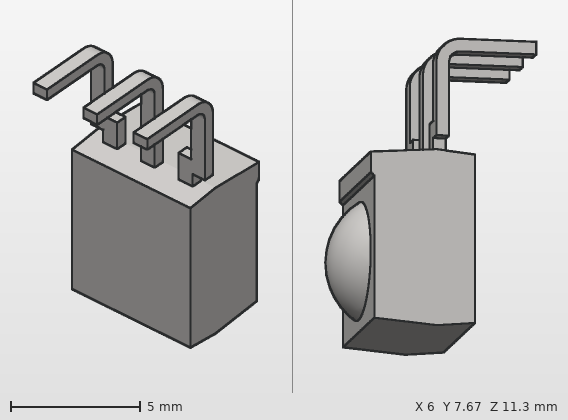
import cadquery as cq

housing_width = 6.0
ridge_height = 6.93
front_y = -1.5
back_y = 2.47
front_edge_drop = 0.15
back_edge_drop = 0.19

lip_depth = 0.14
lip_bottom_z = 5.79
lip_y = back_y + lip_depth

lens_radius = 2.75
lens_apex_y = 3.73
lens_z = 3.0
lens_center_y = lens_apex_y - lens_radius

lead_pitch = 2.54
lead_width = 0.69
lead_thickness = 0.5
lead_top_z = 11.35
lead_tip_y = -3.94
bend_inner_radius = 0.45
bend_outer_radius = bend_inner_radius + lead_thickness

jog_bottom_z = 7.51
jog_top_z = 8.2
foot_width = 0.72
foot_inner_x = 1.55
lead_outer_x = lead_pitch + lead_width / 2


def make_housing():
    """Ridged block with the back lip and the lens as one molded body."""
    profile = [
        (front_y, front_edge_drop),
        (0, 0),
        (back_y, back_edge_drop),
        (back_y, lip_bottom_z),
        (lip_y, lip_bottom_z + lip_depth),
        (lip_y, ridge_height - back_edge_drop),
        (0, ridge_height),
        (front_y, ridge_height - front_edge_drop),
    ]
    block = cq.Workplane("YZ").polyline(profile).close().extrude(housing_width / 2, both=True)
    lens = cq.Workplane("XY").sphere(lens_radius).translate((0, lens_center_y, lens_z))
    lens_diameter = 2 * lens_radius
    behind_face = (
        cq.Workplane("XY")
        .box(lens_diameter, lens_diameter, lens_diameter)
        .translate((0, back_y + lens_radius, lens_z))
    )
    return block.union(lens.intersect(behind_face))


def make_bent_strip(center_x, bottom_z):
    """Upright strip that bends forward at its top, starting at bottom_z."""
    strip = (
        cq.Workplane("YZ")
        .moveTo(0, bottom_z)
        .lineTo(0, lead_top_z - bend_outer_radius)
        .radiusArc((-bend_outer_radius, lead_top_z), -bend_outer_radius)
        .lineTo(lead_tip_y, lead_top_z)
        .lineTo(lead_tip_y, lead_top_z - lead_thickness)
        .lineTo(-bend_outer_radius, lead_top_z - lead_thickness)
        .radiusArc((-lead_thickness, lead_top_z - bend_outer_radius), bend_inner_radius)
        .lineTo(-lead_thickness, bottom_z)
        .close()
        .extrude(lead_width / 2, both=True)
    )
    return strip.translate((center_x, 0, 0))


def make_block(x_start, x_end, z_start, z_end):
    """Block of lead thickness lying in front of the ridge plane."""
    return (
        cq.Workplane("XY")
        .box(x_end - x_start, lead_thickness, z_end - z_start, centered=False)
        .translate((x_start, -lead_thickness, z_start))
    )


def make_lead(side):
    """Lead at the left (-1), middle (0) or right (1), with its flat end at ridge height."""
    if side == 0:
        lead = make_bent_strip(0, ridge_height)
    else:
        lead = make_bent_strip(lead_pitch, jog_bottom_z)
        jog = make_block(foot_inner_x, lead_outer_x, jog_bottom_z, jog_top_z)
        foot = make_block(foot_inner_x, foot_inner_x + foot_width, ridge_height, jog_top_z)
        lead = lead.union(jog).union(foot)
        if side < 0:
            lead = lead.mirror("YZ")
    return lead


housing = make_housing()
leads = [make_lead(side) for side in (-1, 0, 1)]

result = cq.Compound.makeCompound([housing.solids().val(), *[lead.solids().val() for lead in leads]])